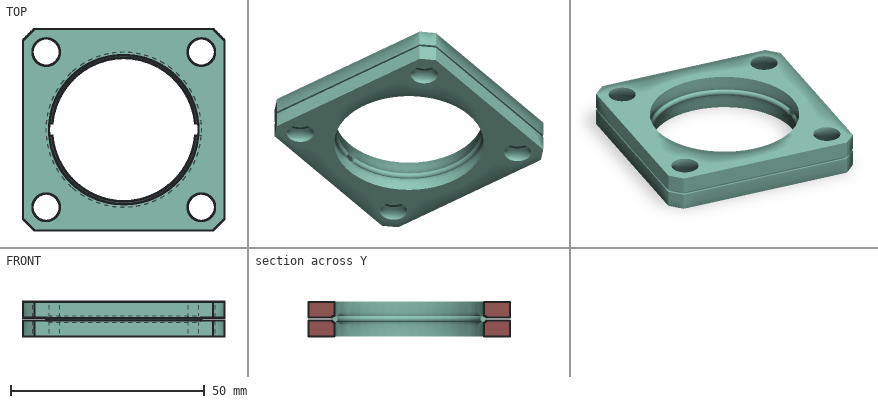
import cadquery as cq

side = 52.0
total_height = 9.0
plate_gap = 0.6
plate_thickness = (total_height - plate_gap) / 2
corner_chamfer = 3.0

bore_diameter = 38.5
bolt_hole_diameter = 7.0
bolt_spacing = 40.0

ring_section_diameter = 1.6
ring_slit_width = 3.1


def make_plate(bottom_z):
    """Square plate with chamfered corners, a central bore and four bolt holes."""
    plate = (
        cq.Workplane("XY")
        .workplane(offset=bottom_z)
        .rect(side, side)
        .extrude(plate_thickness)
        .edges("|Z")
        .chamfer(corner_chamfer)
    )
    plate = plate.faces(">Z").workplane().hole(bore_diameter)
    return (
        plate.faces(">Z")
        .workplane()
        .rect(bolt_spacing, bolt_spacing, forConstruction=True)
        .vertices()
        .hole(bolt_hole_diameter)
    )


def make_full_ring():
    """Unsplit ring, its section centred on the bore wall at mid height."""
    return (
        cq.Workplane("XZ")
        .center(bore_diameter / 2, 0)
        .circle(ring_section_diameter / 2)
        .revolve(360, (-bore_diameter / 2, 0), (-bore_diameter / 2, 1))
    )


def make_slit():
    """Bar along X that splits the ring into two halves."""
    return cq.Workplane("XY").box(side, ring_slit_width, ring_section_diameter * 2)


lower_plate = make_plate(-total_height / 2)
upper_plate = make_plate(plate_gap / 2)
full_ring = make_full_ring()
slit = make_slit()

split_ring = full_ring.cut(slit)
open_groove = full_ring.intersect(slit)

result = split_ring.union(lower_plate).union(upper_plate).cut(open_groove)